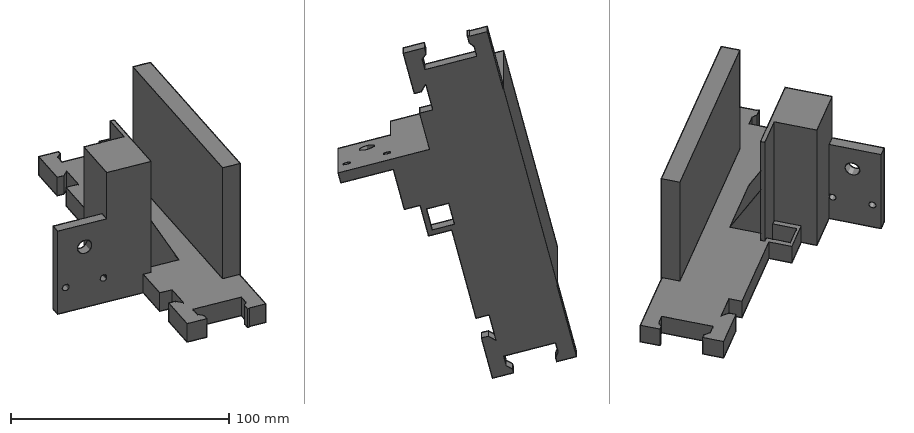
import cadquery as cq

TOTAL_LENGTH = 159.4
TOTAL_DEPTH = 83.5
TOTAL_HEIGHT = 70.0

BASE_HEIGHT = 10.0
BASE_LENGTH = 159.1
BASE_BACK = -0.3
BASE_FRONT = -40.2
LIP_BACK = -9.7
LIP_FRONT = -30.1
END_POCKET_BACK = -8.0
END_POCKET_FRONT = -32.5
NUB_WIDTH = 1.1

NOTCH_BACK = -34.0
NOTCH_TIP = 16.9
NOTCH_OUTER = 19.8
NOTCH_INNER = 29.3
NOTCH_SLOPE_DEPTH = NOTCH_OUTER - NOTCH_TIP

WALL_LEFT = 34.7
WALL_LENGTH = 96.3
WALL_THICKNESS = 9.0

COLUMN_LEFT = 87.5
COLUMN_RIGHT = 112.0
COLUMN_BACK = -36.2
COLUMN_FRONT = -58.7
FLANGE_LEFT = 72.5
FLANGE_THICKNESS = 2.0

SOCKET_FRONT = -51.2
SOCKET_WALL = 2.4
SOCKET_HOLE_FRONT = -49.7
LEDGE_WIDTH = 1.0
LEDGE_HEIGHT = 2.0

GUSSET_LEFT = 77.3
GUSSET_WIDTH = 30.5
GUSSET_BACK = -20.1
GUSSET_TOP = 38.5

BRACKET_THICKNESS = 5.0
BRACKET_HEIGHT = 45.0
LARGE_HOLE_DIAMETER = 7.0
LARGE_HOLE_Y = -69.8
LARGE_HOLE_Z = 32.8
SMALL_HOLE_DIAMETER = 3.3
SMALL_HOLE_SPACING = 19.1
SMALL_HOLE_Z = 13.4


def block(left, right, front, back, bottom, top):
    """Box given by its six sides."""
    size = (right - left, back - front, top - bottom)
    return cq.Workplane("XY").box(*size, centered=False).translate((left, front, bottom))


def prism(points):
    """Outline in plan, extruded through the base plate."""
    return cq.Workplane("XY").polyline(points).close().extrude(BASE_HEIGHT)


def end_pocket(end, lip, slope, floor):
    """Hooked pocket given by the X of the plate end, lip corner, slope end and pocket floor."""
    return prism([
        (end, LIP_BACK),
        (lip, LIP_BACK),
        (slope, END_POCKET_BACK),
        (floor, END_POCKET_BACK),
        (floor, END_POCKET_FRONT),
        (slope, END_POCKET_FRONT),
        (lip, LIP_FRONT),
        (end, LIP_FRONT),
    ])


def base_plate():
    plate = block(0, BASE_LENGTH, BASE_FRONT, BASE_BACK, 0, BASE_HEIGHT)
    plate = plate.cut(end_pocket(end=0, lip=1.9, slope=4.1, floor=8.8))
    plate = plate.cut(end_pocket(end=BASE_LENGTH, lip=156.0, slope=153.8, floor=149.0))
    notch = prism([
        (NOTCH_TIP, NOTCH_BACK),
        (NOTCH_INNER, NOTCH_BACK),
        (NOTCH_INNER, BASE_FRONT),
        (NOTCH_OUTER, BASE_FRONT),
        (NOTCH_OUTER, NOTCH_BACK - NOTCH_SLOPE_DEPTH),
    ])
    mirrored_notch = notch.mirror("YZ").translate((BASE_LENGTH, 0, 0))
    nub = block(BASE_LENGTH, TOTAL_LENGTH, LIP_BACK, LIP_BACK + NUB_WIDTH, 0, BASE_HEIGHT)
    return plate.cut(notch).cut(mirrored_notch).union(nub)


def back_wall():
    return block(WALL_LEFT, WALL_LEFT + WALL_LENGTH, -WALL_THICKNESS, 0, 0, TOTAL_HEIGHT)


def column():
    post = block(COLUMN_LEFT, COLUMN_RIGHT, COLUMN_FRONT, COLUMN_BACK, 0, TOTAL_HEIGHT)
    flange = block(FLANGE_LEFT, COLUMN_LEFT, COLUMN_BACK - FLANGE_THICKNESS, COLUMN_BACK, 0, TOTAL_HEIGHT)
    return post.union(flange)


def socket_body():
    return block(FLANGE_LEFT, COLUMN_LEFT, SOCKET_FRONT, COLUMN_BACK, 0, BASE_HEIGHT)


def socket_hole():
    left = FLANGE_LEFT + SOCKET_WALL
    right = COLUMN_LEFT - SOCKET_WALL
    back = COLUMN_BACK - FLANGE_THICKNESS
    ledge_back = SOCKET_HOLE_FRONT + LEDGE_WIDTH
    hole = block(left, right, SOCKET_HOLE_FRONT, back, 0, BASE_HEIGHT)
    return hole.cut(block(left, right, SOCKET_HOLE_FRONT, ledge_back, 0, LEDGE_HEIGHT))


def gusset():
    profile = [
        (GUSSET_BACK, BASE_HEIGHT),
        (COLUMN_BACK, GUSSET_TOP),
        (COLUMN_BACK, BASE_HEIGHT),
    ]
    return cq.Workplane("YZ", origin=(GUSSET_LEFT, 0, 0)).polyline(profile).close().extrude(GUSSET_WIDTH)


def bracket():
    left = COLUMN_RIGHT - BRACKET_THICKNESS
    plate = block(left, COLUMN_RIGHT, -TOTAL_DEPTH, COLUMN_FRONT, 0, BRACKET_HEIGHT)
    half_spacing = SMALL_HOLE_SPACING / 2
    holes = [
        (LARGE_HOLE_Y, LARGE_HOLE_Z, LARGE_HOLE_DIAMETER),
        (LARGE_HOLE_Y - half_spacing, SMALL_HOLE_Z, SMALL_HOLE_DIAMETER),
        (LARGE_HOLE_Y + half_spacing, SMALL_HOLE_Z, SMALL_HOLE_DIAMETER),
    ]
    for y, z, diameter in holes:
        drill = cq.Workplane("YZ", origin=(left, y, z)).circle(diameter / 2).extrude(BRACKET_THICKNESS)
        plate = plate.cut(drill)
    return plate


result = base_plate().union(back_wall()).union(socket_body()).union(gusset()).union(column())
result = result.cut(socket_hole()).union(bracket())